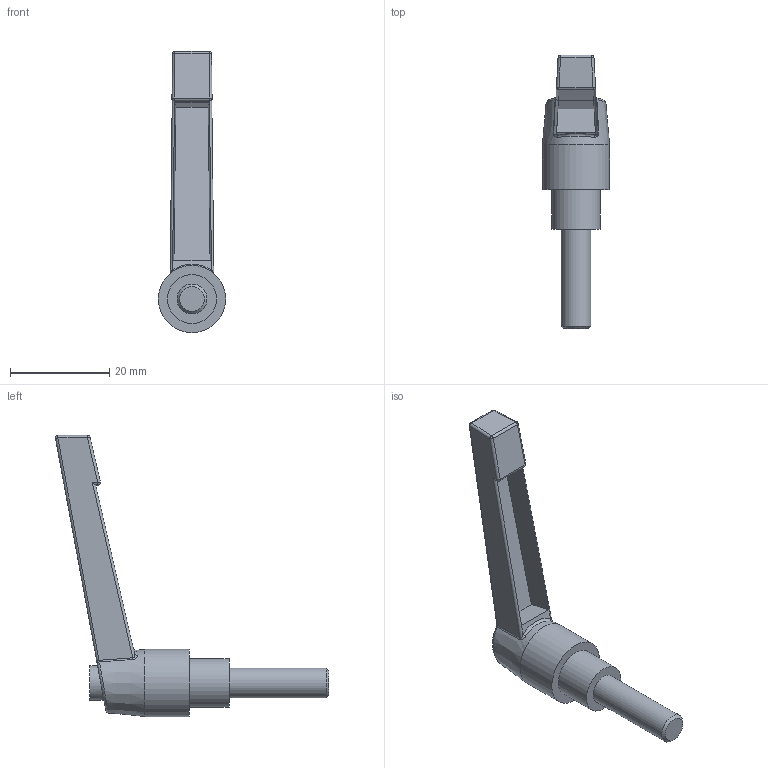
import cadquery as cq
import math


hub_radius = 6.75
hub_straight = 9.0
hub_draft = math.radians(5)
hub_blank_length = 20.0
sleeve_radius = 4.9
sleeve_length = 8.0
stud_radius = 3.0
stud_length = 20.0
stud_chamfer = 0.5
button_radius = 3.5
button_end_y = 20.0

arm_top_z = 49.78
arm_back_top_y = 27.02
back_tilt = math.radians(10.5)
front_tilt = math.radians(13)
arm_back_half_width = 3.58
side_draft = math.radians(3)
ledge_z = 39.8
head_front_y = 17.75
rail_step = 1.1
edge_radius = 0.5

rail_wall = edge_radius
pocket_depth = 4.95
pocket_bottom_z = 7.8
pocket_end_tilt = (back_tilt + front_tilt) / 2

clearance = 5.0
tolerance = 1e-4
root_limit_y = hub_straight + 3.0


def back_y(z):
    """Y of the tilted back face at height z."""
    return arm_back_top_y - (arm_top_z - z) * math.tan(back_tilt)


def head_y(z):
    """Y of the front face of the solid head at height z."""
    return head_front_y + (z - ledge_z) * math.tan(front_tilt)


def rail_y(z):
    """Y of the front edge of the rails, set back from the head, at height z."""
    return head_y(z) + rail_step


def floor_y(z):
    """Y of the pocket floor at height z."""
    return rail_y(z) + pocket_depth


def half_width(y):
    """Half the arm's width in X; the arm narrows toward its back."""
    return arm_back_half_width + (arm_back_top_y - y) * math.tan(side_draft)


def side_profile(points):
    """Symmetrical slab in X from an outline of (y, z) points."""
    return cq.Workplane("YZ").polyline(points).close().extrude(2 * hub_radius, both=True)


def width_prism(inset):
    """Drafted prism along Z that sets the width, narrowed by inset on each side."""
    near_y = -clearance
    far_y = arm_back_top_y + clearance
    near = half_width(near_y) - inset
    far = half_width(far_y) - inset
    outline = [(-near, near_y), (near, near_y), (far, far_y), (-far, far_y)]
    return cq.Workplane("XY").polyline(outline).close().extrude(arm_top_z + clearance)


def make_hub():
    """Cylinder with a conical rear, cut off by the arm's tilted back plane."""
    end_radius = hub_radius - (hub_blank_length - hub_straight) * math.tan(hub_draft)
    half_section = [
        (0, 0),
        (hub_radius, 0),
        (hub_radius, hub_straight),
        (end_radius, hub_blank_length),
        (0, hub_blank_length),
    ]
    blank = cq.Workplane("XY").polyline(half_section).close().revolve(360, (0, 0), (0, 1))
    low, high = -2 * hub_radius, 2 * hub_radius
    keep = side_profile([(-clearance, low), (back_y(low), low), (back_y(high), high), (-clearance, high)])
    return blank.intersect(keep)


def make_arm():
    """Sharp-edged arm with its stepped head, reaching down to the hub axis."""
    outline = [
        (rail_y(0), 0),
        (rail_y(ledge_z), ledge_z),
        (head_y(ledge_z), ledge_z),
        (head_y(arm_top_z), arm_top_z),
        (arm_back_top_y, arm_top_z),
        (back_y(0), 0),
    ]
    return side_profile(outline).intersect(width_prism(0))


def pocket_floor_point(edge_y, edge_z):
    """Where the square end face that starts at a front edge point meets the pocket floor."""
    end_slope = math.tan(pocket_end_tilt)
    gap = floor_y(edge_z) - edge_y
    depth = gap / (1 + math.tan(front_tilt) * end_slope)
    return (edge_y + depth, edge_z - depth * end_slope)


def make_pocket():
    """Recess open to the front, with ends square to the arm and a floor parallel to the rails."""
    low_edge_y = rail_y(pocket_bottom_z)
    low_outer_z = pocket_bottom_z + clearance * math.tan(pocket_end_tilt)
    high_edge_y = head_y(ledge_z)
    outline = [
        (low_edge_y - clearance, low_outer_z),
        pocket_floor_point(low_edge_y, pocket_bottom_z),
        pocket_floor_point(high_edge_y, ledge_z),
        (high_edge_y, ledge_z),
        (high_edge_y - clearance, ledge_z),
    ]
    return side_profile(outline).intersect(width_prism(rail_wall))


def cylinder_along_y(radius, start_y, end_y):
    """Round bar on the hub axis between two Y positions."""
    return cq.Workplane("XZ", origin=(0, end_y, 0)).circle(radius).extrude(end_y - start_y)


def is_arm_edge(edge):
    """True for the outer straight edges of the arm, leaving out the inner corner below the head."""
    box = edge.BoundingBox()
    is_level = box.zlen < tolerance and box.ylen < tolerance
    is_inner_corner = is_level and abs(box.ymax - rail_y(ledge_z)) < tolerance
    return edge.geomType() == "LINE" and box.zmax > hub_radius and not is_inner_corner


def is_hub_back_edge(edge):
    """True for the rim where the tilted back plane cuts the hub."""
    box = edge.BoundingBox()
    return edge.geomType() == "ELLIPSE" and box.ymin > root_limit_y


def is_root_edge(edge):
    """True for the curves where the front and sides of the arm meet the hub."""
    box = edge.BoundingBox()
    front_root = edge.geomType() == "ELLIPSE" and box.zmin > 0 and box.ymax < root_limit_y
    return front_root or edge.geomType() == "HYPERBOLA"


def is_rounded(edge):
    """True for every edge of the casting that carries a fillet."""
    return is_arm_edge(edge) or is_hub_back_edge(edge) or is_root_edge(edge)


def make_body():
    """Hub and arm as one casting with rounded edges and a pocketed arm."""
    body = make_hub().union(make_arm())
    rounded_edges = [edge for edge in body.edges().vals() if is_rounded(edge)]
    return body.newObject(rounded_edges).fillet(edge_radius).cut(make_pocket())


stud_tip_y = -sleeve_length - stud_length
sleeve = cylinder_along_y(sleeve_radius, -sleeve_length, 0)
stud = cylinder_along_y(stud_radius, stud_tip_y, 0).faces("<Y").chamfer(stud_chamfer)
button = cylinder_along_y(button_radius, hub_straight, button_end_y)

result = make_body().union(sleeve).union(stud).union(button)